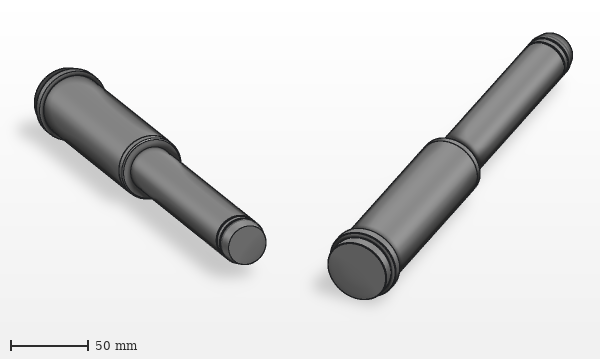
import cadquery as cq

total_length = 300.0
body_diameter = 42.0
collar_diameter = 47.0
pin_diameter = 30.0
edge_chamfer = 0.5

head_length = 7.8
neck_depth = 0.5
collar_start = 9.0
collar_end = 15.0

body_end = 144.0
land_start = 138.5
land_depth = 0.15
body_end_chamfer = 1.0

groove_starts = (283.8, 289.2)
groove_width = 1.0
groove_depth = 0.5
lead_in_length = 7.2
tip_diameter = 26.5

body_radius = body_diameter / 2
collar_radius = collar_diameter / 2
pin_radius = pin_diameter / 2


def head_profile():
    """(x, radius) points of the head disc and the neck."""
    neck_radius = body_radius - neck_depth
    return [
        (0, body_radius - edge_chamfer),
        (edge_chamfer, body_radius),
        (head_length, body_radius),
        (head_length, neck_radius),
        (collar_start, neck_radius),
    ]


def collar_profile():
    return [
        (collar_start, collar_radius - edge_chamfer),
        (collar_start + edge_chamfer, collar_radius),
        (collar_end, collar_radius),
    ]


def body_profile():
    land_radius = body_radius - land_depth
    return [
        (collar_end, body_radius - edge_chamfer),
        (collar_end + edge_chamfer, body_radius),
        (land_start, body_radius),
        (land_start, land_radius),
        (body_end - body_end_chamfer, land_radius),
        (body_end, land_radius - body_end_chamfer),
    ]


def pin_profile():
    groove_radius = pin_radius - groove_depth
    points = [(body_end, pin_radius)]
    for start in groove_starts:
        end = start + groove_width
        points += [(start, pin_radius), (start, groove_radius), (end, groove_radius), (end, pin_radius)]
    points += [(total_length - lead_in_length, pin_radius), (total_length, tip_diameter / 2)]
    return points


outer_profile = head_profile() + collar_profile() + body_profile() + pin_profile()
result = (
    cq.Workplane("XY")
    .polyline([(0, 0)] + outer_profile + [(total_length, 0)])
    .close()
    .revolve(360, (0, 0, 0), (1, 0, 0))
)